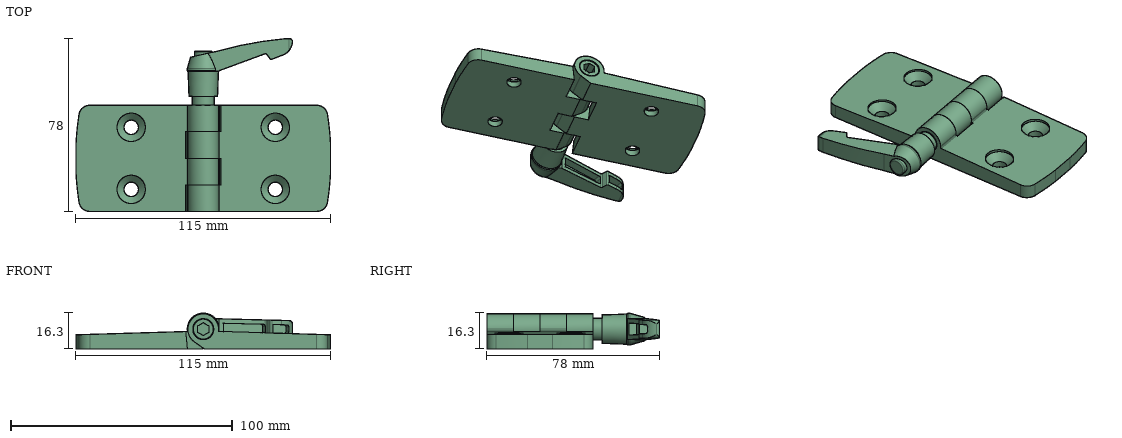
import cadquery as cq
import math

axis_height = 9.0
barrel_radius = 7.0
pin_radius = 4.5

leaf_reach = 57.5
leaf_length = 48.0
half_length = leaf_length / 2
knuckle_count = 4
knuckle_length = leaf_length / knuckle_count
root_thickness = 8.0
tip_thickness = 6.5
bow_radius = 128.0
flat_half_length = 5.7
corner_radius = 5.0
root_fillet = 0.3
bore_chamfer = 0.25
heel_offset = 0.6
gap_bottom = 7.15
gap_top = 7.9

hole_x = 32.5
hole_y = 14.0
hole_diameter = 6.4
sink_diameter = 12.8
sink_rim_depth = 1.0
sink_cone_depth = (sink_diameter - hole_diameter) / 2

neck_radius = 5.0
hex_across_flats = 5.0
hex_depth = 8.0

hub_start = half_length + 4.0
hub_start_radius = 6.5
hub_end_radius = 6.9
collar_start = 39.1
collar_radius = 7.25
collar_round_end = 39.6
collar_end = 40.5
cone_end = 50.0
cone_end_radius = 4.55

head_radius = 4.0
head_top = 48.4
head_round = 0.6

hub_cut_x = -8.0
hub_cut_y = 45.1
arm_top_start = (6.9, 48.5)
arm_back_mid = (22.0, 52.0)
arm_back_end = (36.8, 54.0)
tip_corner_round = 1.4
tip_mid = (39.0, 49.0)
tip_base = (35.2, 46.3)
lip_outer = (30.4, 44.45)
lip_inner = (28.35, 47.3)
lip_round = 0.7
arm_under_start = (7.2, 39.5)
arm_root_half = 4.9
arm_tip_half = 3.88
arm_end_x = 40.3
arm_end_round = 1.7

pocket_wall = 2.0
long_pocket_depth = 3.5
tip_pocket_depth = 4.4
pocket_corner = 1.0
pocket_overcut = 1.0
long_pocket_start = 9.1
long_pocket_end = 28.0
tip_pocket_start = 31.5
tip_pocket_end = 38.9


def plate_top(x):
    """Height of the plate's sloping upper surface at distance x from the axis."""
    slope = (tip_thickness - root_thickness) / (leaf_reach - barrel_radius)
    return root_thickness + slope * (x - barrel_radius)


def turned(points):
    """Revolve (radius, y) points, closed along the axis, about Y."""
    profile = cq.Workplane("XY").moveTo(0, points[0][1]).polyline(points, includeCurrent=True)
    return profile.lineTo(0, points[-1][1]).close().revolve(360, (0, 0, 0), (0, 1, 0))


def extrude_along_y(profile, y_start, y_end):
    return profile.extrude(-(y_end - y_start)).translate((0, y_start, 0))


def plate():
    profile = (
        cq.Workplane("XZ")
        .moveTo(gap_bottom, 0)
        .lineTo(leaf_reach, 0)
        .lineTo(leaf_reach, tip_thickness)
        .lineTo(gap_top, plate_top(gap_top))
        .close()
    )
    return extrude_along_y(profile, -half_length, half_length)


def knuckle(y_start):
    heel_distance = math.hypot(heel_offset, axis_height)
    heel_angle = math.atan2(-axis_height, heel_offset)
    tangent_angle = heel_angle - math.acos(barrel_radius / heel_distance)
    tangent_x = barrel_radius * math.cos(tangent_angle)
    tangent_z = axis_height + barrel_radius * math.sin(tangent_angle)
    plate_join = gap_top + 1.0
    fillet_foot = barrel_radius + root_fillet
    profile = (
        cq.Workplane("XZ")
        .moveTo(heel_offset, 0)
        .lineTo(plate_join, 0)
        .lineTo(plate_join, plate_top(plate_join))
        .lineTo(fillet_foot, plate_top(fillet_foot))
        .radiusArc((barrel_radius, root_thickness + root_fillet), root_fillet)
        .lineTo(barrel_radius, axis_height)
        .threePointArc((0, axis_height + barrel_radius), (tangent_x, tangent_z))
        .close()
    )
    return extrude_along_y(profile, y_start, y_start + knuckle_length)


def leaf_outline():
    bow_centre_x = leaf_reach - math.sqrt(bow_radius**2 - flat_half_length**2)

    def bow_point(y):
        return (bow_centre_x + math.sqrt(bow_radius**2 - y**2), y)

    arc_middle_y = (half_length + flat_half_length) / 2
    outline = (
        cq.Workplane("XY")
        .moveTo(-barrel_radius, -half_length)
        .lineTo(*bow_point(-half_length))
        .threePointArc(bow_point(-arc_middle_y), bow_point(-flat_half_length))
        .lineTo(*bow_point(flat_half_length))
        .threePointArc(bow_point(arc_middle_y), bow_point(half_length))
        .lineTo(-barrel_radius, half_length)
        .close()
        .extrude(axis_height + barrel_radius)
    )
    return outline.edges("|Z").edges(">Y or <Y").edges(">X").fillet(corner_radius)


def countersunk_hole(y):
    rim = plate_top(hole_x)
    cone_top = rim - sink_rim_depth
    cone_bottom = cone_top - sink_cone_depth
    profile = (
        cq.Workplane("XZ")
        .lineTo(hole_diameter / 2, 0)
        .lineTo(hole_diameter / 2, cone_bottom)
        .lineTo(sink_diameter / 2, cone_top)
        .lineTo(sink_diameter / 2, root_thickness)
        .lineTo(0, root_thickness)
        .close()
    )
    return profile.revolve(360, (0, 0, 0), (0, 1, 0)).translate((hole_x, y, 0))


def pin_bore():
    bore = turned([
        (pin_radius + bore_chamfer, -half_length),
        (pin_radius, -half_length + bore_chamfer),
        (pin_radius, half_length),
    ])
    return bore.translate((0, 0, axis_height))


def make_leaf():
    leaf = plate()
    for index in range(0, knuckle_count, 2):
        leaf = leaf.union(knuckle(-half_length + index * knuckle_length))
    leaf = leaf.intersect(leaf_outline()).cut(pin_bore())
    for y in (-hole_y, hole_y):
        leaf = leaf.cut(countersunk_hole(y))
    return leaf


def pin():
    shaft = turned([
        (pin_radius, -half_length),
        (pin_radius, half_length),
        (neck_radius, half_length),
        (neck_radius, hub_start),
    ])
    hex_socket = (
        cq.Workplane("XZ", origin=(0, -half_length, 0))
        .polygon(6, hex_across_flats, circumscribed=True)
        .extrude(-hex_depth)
    )
    return shaft.cut(hex_socket)


def above_hub_top():
    """Everything above the hub's sloping top, which lines up with the arm's back."""
    high = cone_end + 1.0
    return (
        cq.Workplane("XY", origin=(0, 0, -2 * collar_radius))
        .polyline([(hub_cut_x, hub_cut_y), arm_top_start, (arm_top_start[0], high), (hub_cut_x, high)])
        .close()
        .extrude(4 * collar_radius)
    )


def hub():
    body = turned([
        (hub_start_radius, hub_start),
        (hub_end_radius, collar_start),
        (collar_radius, collar_round_end),
        (collar_radius, collar_end),
        (cone_end_radius, cone_end),
    ])
    head = turned([(head_radius, collar_end), (head_radius, head_top)])
    head = head.faces(">Y").edges().fillet(head_round)
    return body.cut(above_hub_top()).union(head)


def arm_half_thickness(x):
    return arm_root_half + (arm_tip_half - arm_root_half) * x / arm_end_x


def arm_blank():
    half_width = arm_root_half
    top_slope = (arm_top_start[1] - hub_cut_y) / (arm_top_start[0] - hub_cut_x)
    outline = (
        cq.Workplane("XY", origin=(0, 0, -half_width))
        .moveTo(0, arm_under_start[1])
        .lineTo(0, hub_cut_y - top_slope * hub_cut_x)
        .lineTo(*arm_top_start)
        .threePointArc(arm_back_mid, arm_back_end)
        .lineTo(arm_end_x - tip_corner_round, arm_back_end[1])
        .radiusArc((arm_end_x, arm_back_end[1] - tip_corner_round), tip_corner_round)
        .threePointArc(tip_mid, tip_base)
        .lineTo(*lip_outer)
        .lineTo(*lip_inner)
        .lineTo(*arm_under_start)
        .close()
        .extrude(2 * half_width)
    )
    for corner in (lip_outer, lip_inner):
        outline = outline.edges(cq.selectors.NearestToPointSelector((*corner, 0))).fillet(lip_round)
    taper = (
        cq.Workplane("XZ")
        .polyline([
            (0, -arm_root_half),
            (arm_end_x, -arm_tip_half),
            (arm_end_x, arm_tip_half),
            (0, arm_root_half),
        ])
        .close()
        .extrude(-2 * cone_end)
        .edges("|Y").edges(">X")
        .fillet(arm_end_round)
    )
    return outline.intersect(taper)


def pocket(face_start, face_end, x_start, x_end, depth):
    """Round-cornered pocket sunk square to the face that runs from face_start to face_end."""
    run = face_end[0] - face_start[0]
    rise = face_end[1] - face_start[1]
    stretch = math.hypot(run, rise) / run
    face = cq.Plane(origin=(*face_start, 0), xDir=(run, rise, 0), normal=(-rise, run, 0))
    near = (x_start - face_start[0]) * stretch
    far = (x_end - face_start[0]) * stretch
    near_half = arm_half_thickness(x_start) - pocket_wall
    far_half = arm_half_thickness(x_end) - pocket_wall
    return (
        cq.Workplane(face)
        .workplane(offset=-pocket_overcut)
        .polyline([(near, -near_half), (far, -far_half), (far, far_half), (near, near_half)])
        .close()
        .extrude(depth + pocket_overcut)
        .faces(">X")
        .edges("not |Z")
        .fillet(pocket_corner)
    )


def make_lever():
    arm = arm_blank()
    arm = arm.cut(pocket(arm_under_start, lip_inner, long_pocket_start, long_pocket_end, long_pocket_depth))
    arm = arm.cut(pocket(lip_outer, tip_base, tip_pocket_start, tip_pocket_end, tip_pocket_depth))
    lever = pin().union(hub()).union(arm)
    return lever.translate((0, 0, axis_height))


right_leaf = make_leaf()
left_leaf = right_leaf.rotate((0, 0, 0), (0, 0, 1), 180)
lever = make_lever()

result = cq.Compound.makeCompound([right_leaf.val(), left_leaf.val(), lever.val()])